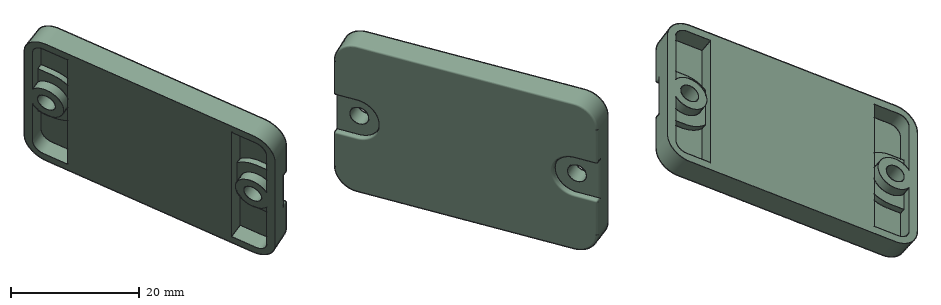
import cadquery as cq
import math

length = 45.0
height = 29.0
thickness = 4.0
corner_radius = 4.0
side_draft = 1.5
back_edge_fillet = 0.3

rim = 1.5
pocket_inner_edge = 7.78
pocket_depth = 2.6
pocket_corner_radius = 2.0
wall_draft = 1.5

screw_inset = 4.0
screw_hole_diameter = 3.2
boss_diameter = 6.2
seat_radius = 5.25
seat_height = 1.0
head_recess_diameter = 7.4
head_recess_depth = 1.0

screw_x = length / 2 - screw_inset
recess_floor = thickness - head_recess_depth
channel_run = 2 * screw_inset
select_margin = 0.1
mouth_band = 0.2


def front_plane(y):
    """Workplane at depth y with local x along X and local y along Z; negative extrusion goes to +Y."""
    return cq.Workplane("XZ", origin=(0, y, 0))


def make_blank():
    inset = thickness * math.tan(math.radians(side_draft))
    front = cq.Sketch().rect(length, height).vertices().fillet(corner_radius)
    back = cq.Sketch().rect(length - 2 * inset, height - 2 * inset).vertices().fillet(corner_radius)
    back = back.moved(cq.Location(cq.Vector(0, 0, -thickness)))
    return front_plane(0).placeSketch(front, back).loft(ruled=True)


def open_slot(side, radius, y_start, y_end):
    """Round-ended slot about a screw axis, running out past the end of the cover."""
    depth = y_end - y_start
    round_end = front_plane(y_start).center(side * screw_x, 0).circle(radius).extrude(-depth)
    channel = front_plane(y_start).center(side * (screw_x + channel_run / 2), 0)
    return round_end.union(channel.rect(channel_run, 2 * radius).extrude(-depth))


def make_pocket(side):
    """Pocket volume, leaving the screw boss and its seat standing."""
    center_x = side * (length - rim - pocket_inner_edge) / 2
    pocket = front_plane(0).center(center_x, 0).rect(pocket_inner_edge - rim, height - 2 * rim)
    pocket = pocket.extrude(-pocket_depth, taper=wall_draft)
    outer_corners = cq.selectors.BoxSelector(
        (center_x, select_margin, -height),
        (side * length, pocket_depth - select_margin, height))
    pocket = pocket.edges(outer_corners).fillet(pocket_corner_radius)
    seat = open_slot(side, seat_radius, pocket_depth - seat_height, thickness)
    boss = front_plane(0).center(side * screw_x, 0).circle(boss_diameter / 2)
    boss = boss.extrude(-pocket_depth, taper=-wall_draft)
    return pocket.cut(seat).cut(boss)


def recess_mouth(side):
    """Selects the edges where a head recess breaks out through the end wall of the cover."""
    end_x = side * length / 2
    return cq.selectors.BoxSelector(
        (end_x - mouth_band, recess_floor - select_margin, -head_recess_diameter),
        (end_x + mouth_band, thickness - select_margin, head_recess_diameter))


def make_cover():
    cover = make_blank()
    for side in (-1, 1):
        cover = cover.cut(make_pocket(side))
        cover = cover.cut(open_slot(side, head_recess_diameter / 2, recess_floor, thickness))
    rounded_edges = cover.faces(">Y").edges()
    for side in (-1, 1):
        rounded_edges = rounded_edges.add(cover.edges(recess_mouth(side)))
    cover = rounded_edges.fillet(back_edge_fillet)
    for side in (-1, 1):
        hole = front_plane(0).center(side * screw_x, 0).circle(screw_hole_diameter / 2)
        cover = cover.cut(hole.extrude(-thickness))
    return cover


cover = make_cover()

result = cq.Compound.makeCompound([cover.val()])